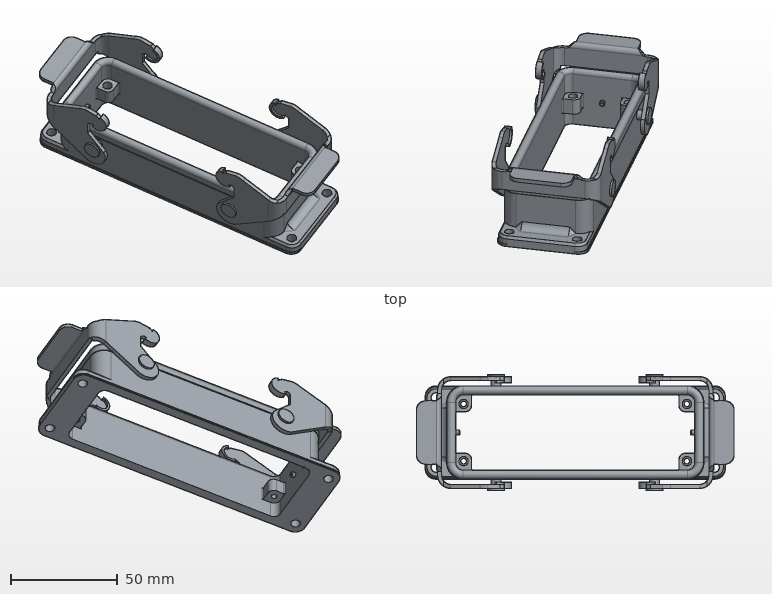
import cadquery as cq
import math

base_length = 140.3
base_width = 42.6
base_height = 5.3
base_corner = 5.0
base_edge_drop = 1.3
base_edge_inset = 0.9
lip_width = 43.7
lip_height = 1.2

body_length = 119.8
body_width = base_width
body_corner = 7.0
rim_length = 120.2
rim_width = lip_width
rim_corner = 7.7
rim_bottom = 23.0
bead_diameter = 4.3
bead_center_z = 26.5
cavity_length = rim_length - 2 * bead_diameter
cavity_width = rim_width - 2 * bead_diameter
cavity_corner = rim_corner - bead_diameter

flange_hole_diameter = 4.5
flange_hole_x = base_length / 2 - base_corner
flange_hole_y = base_width / 2 - base_corner

ramp_reach = 4.2
ramp_rise = 3.1
ramp_full_y = 11.5
ramp_tip_y = 14.4
ramp_tip_scale = 0.02

boss_x = 52.2
boss_y = 13.4
boss_reach = 3.7
boss_corner = 3.0
boss_flare = 0.6
boss_wall_overlap = 1.0
boss_bottom = 9.2
boss_top = 16.8
boss_hole_diameter = 2.5
boss_bore_diameter = 4.3
boss_bore_depth = 4.5
peg_diameter = 2.5
peg_length = 2.0
peg_chamfer = 0.5
peg_z = 13.1
peg_embed = 1.5

sheet = 2.0
strap_x = -64.3
lever_half_width = 26.2
lever_corner = 6.2
strap_bottom = 26.7
strap_flat_half_width = 21.7
strap_top = 36.3
lever_top = 44.7
lever_inner_x = -29.7

pivot_x = -37.0
pivot_z = 19.0
pin_diameter = 4.8
head_diameter = 8.0
overall_width = 54.2
head_outer_y = overall_width / 2
pin_embed = 1.5

heel_x = -37.2
heel_z = 16.6
heel_radius = 7.0
heel_start_angle = -115
heel_end_angle = 28

arm_lower_corner = (-58.4, 22.9)
arm_upper_corner = (-58.4, 37.7)
strap_top_x = -61.7
crown_x = -40.7
crown_bend = (-43.0, 44.3)
crown_end = (-44.6, 43.5)
hook_shoulder = (-35.0, 43.7)

throat_x = -39.7
throat_bottom_z = 29.0
throat_top_z = 35.2
throat_crest = (-38.2, 36.5)

nose_x = -34.5
nose_z = 39.0
nose_outer_radius = 4.8
nose_inner_radius = 3.5
nose_start_angle = -129
nose_end_angle = 72
nose_width = 3.0

tab_end_x = -74.3
tab_half_width = 14.9
tab_corner = 4.5
tab_top = 39.0
bend_inner_radius = 0.5
flare_top_half_width = 15.5
flare_bottom_half_width = 18.3


def rounded_block(length, width, corner, bottom, top):
    """Upright block centred on the Z axis with rounded vertical edges."""
    block = cq.Workplane("XY").workplane(offset=bottom).rect(length, width).extrude(top - bottom)
    return block.edges("|Z").fillet(corner)


def polar(center_x, center_z, radius, degrees):
    """Point at an angle on a circle in the XZ plane."""
    angle = math.radians(degrees)
    return (center_x + radius * math.cos(angle), center_z + radius * math.sin(angle))


def y_prism(profile_wires, y_start, y_end):
    """Extrude wires lying on the XZ plane between two Y positions."""
    return profile_wires.extrude(y_start - y_end).translate((0, y_start, 0))


def both_ends(shape):
    """A -X end feature together with its mirror image at the +X end."""
    return shape.union(shape.mirror("YZ"))


def both_sides(shape):
    """A -Y side feature together with its mirror image at the +Y side."""
    return shape.union(shape.mirror("XZ"))


def make_flange():
    flange = rounded_block(base_length, base_width, base_corner, 0, base_height)
    flange = flange.faces(">Z").chamfer(base_edge_drop, base_edge_inset)
    lip = rounded_block(base_length, lip_width, base_corner, 0, lip_height)
    return flange.union(lip)


def make_rim():
    """Raised band with a half-round top, swept around the cavity opening."""
    bead_radius = bead_diameter / 2
    half_length = rim_length / 2 - bead_radius
    half_width = rim_width / 2 - bead_radius
    path_corner = rim_corner - bead_radius
    path = (
        cq.Workplane("XY", origin=(0, 0, rim_bottom))
        .moveTo(0, -half_width)
        .lineTo(half_length - path_corner, -half_width)
        .radiusArc((half_length, -half_width + path_corner), -path_corner)
        .lineTo(half_length, half_width - path_corner)
        .radiusArc((half_length - path_corner, half_width), -path_corner)
        .lineTo(-half_length + path_corner, half_width)
        .radiusArc((-half_length, half_width - path_corner), -path_corner)
        .lineTo(-half_length, -half_width + path_corner)
        .radiusArc((-half_length + path_corner, -half_width), -path_corner)
        .close()
    )
    side_height = bead_center_z - rim_bottom
    section = (
        cq.Workplane("YZ", origin=(0, -half_width, rim_bottom))
        .moveTo(-bead_radius, 0)
        .lineTo(bead_radius, 0)
        .lineTo(bead_radius, side_height)
        .threePointArc((0, side_height + bead_radius), (-bead_radius, side_height))
        .close()
    )
    return section.sweep(path)


def make_ramp():
    """Concave ramp at the foot of the -X end wall, tapering to a point at each end."""
    def section(y, scale):
        reach = ramp_reach * scale
        rise = ramp_rise * scale
        radius = (reach ** 2 + rise ** 2) / (2 * rise)
        outline = (
            cq.Workplane("XZ", origin=(-body_length / 2, y, base_height))
            .moveTo(0, 0)
            .lineTo(-reach, 0)
            .radiusArc((0, rise), -radius)
            .close()
        )
        return outline.val()

    stations = [
        (-ramp_tip_y, ramp_tip_scale),
        (-ramp_full_y, 1),
        (ramp_full_y, 1),
        (ramp_tip_y, ramp_tip_scale),
    ]
    sections = [section(y, scale) for y, scale in stations]
    return cq.Workplane(cq.Solid.makeLoft(sections, True))


def make_boss():
    """Screw boss in the -X, -Y cavity corner, blended into both walls."""
    inner_x = -boss_x + boss_reach
    inner_y = -boss_y + boss_reach
    wall_x = -cavity_length / 2
    wall_y = -cavity_width / 2
    outer_x = wall_x - boss_wall_overlap
    outer_y = wall_y - boss_wall_overlap
    return (
        cq.Workplane("XY")
        .workplane(offset=boss_bottom)
        .moveTo(outer_x, outer_y)
        .lineTo(inner_x + boss_flare, outer_y)
        .lineTo(inner_x + boss_flare, wall_y)
        .radiusArc((inner_x, wall_y + boss_flare), boss_flare)
        .lineTo(inner_x, inner_y - boss_corner)
        .radiusArc((inner_x - boss_corner, inner_y), -boss_corner)
        .lineTo(wall_x + boss_flare, inner_y)
        .radiusArc((wall_x, inner_y + boss_flare), boss_flare)
        .lineTo(outer_x, inner_y + boss_flare)
        .close()
        .extrude(boss_top - boss_bottom)
    )


def make_peg():
    """Locating peg on the inside of the -X end wall."""
    start_x = -cavity_length / 2 - peg_embed
    peg = cq.Workplane("YZ", origin=(start_x, 0, peg_z)).circle(peg_diameter / 2)
    peg = peg.extrude(peg_embed + peg_length)
    return peg.faces(">X").chamfer(peg_chamfer)


def make_housing():
    housing = make_flange()
    housing = housing.union(rounded_block(body_length, body_width, body_corner, 0, rim_bottom))
    housing = housing.union(both_ends(make_ramp()))
    housing = housing.cut(rounded_block(cavity_length, cavity_width, cavity_corner, 0, lever_top))
    housing = housing.union(make_rim())
    housing = housing.union(both_ends(both_sides(make_boss())))
    housing = housing.union(both_ends(make_peg()))
    flange_holes = (
        cq.Workplane("XY")
        .rect(2 * flange_hole_x, 2 * flange_hole_y, forConstruction=True)
        .vertices()
        .circle(flange_hole_diameter / 2)
        .extrude(base_height)
    )
    boss_axes = (
        cq.Workplane("XY")
        .workplane(offset=boss_top)
        .rect(2 * boss_x, 2 * boss_y, forConstruction=True)
        .vertices()
    )
    boss_holes = boss_axes.circle(boss_hole_diameter / 2).extrude(boss_bottom - boss_top)
    boss_bores = boss_axes.circle(boss_bore_diameter / 2).extrude(-boss_bore_depth)
    return housing.cut(flange_holes).cut(boss_holes).cut(boss_bores)


def make_lever_band():
    """U-shaped sheet in plan: the end strap and both arms, untrimmed in height."""
    def u_block(inset):
        left = strap_x + inset
        half_width = lever_half_width - inset
        block = cq.Workplane("XY").box(
            lever_inner_x - left, 2 * half_width, lever_top, centered=(False, True, False)
        )
        return block.translate((left, 0, 0)).edges("|Z and <X").fillet(lever_corner - inset)

    return u_block(0).cut(u_block(sheet))


def make_lever_outline():
    """Side shape of the lever, as a prism across the whole width."""
    heel_mid_angle = (heel_start_angle + heel_end_angle) / 2
    outline = (
        cq.Workplane("XZ")
        .moveTo(strap_x, strap_bottom)
        .lineTo(*arm_lower_corner)
        .lineTo(*polar(heel_x, heel_z, heel_radius, heel_start_angle))
        .threePointArc(
            polar(heel_x, heel_z, heel_radius, heel_mid_angle),
            polar(heel_x, heel_z, heel_radius, heel_end_angle),
        )
        .lineTo(throat_x, throat_bottom_z)
        .lineTo(throat_x, throat_top_z)
        .threePointArc(throat_crest, polar(nose_x, nose_z, nose_inner_radius, nose_start_angle))
        .threePointArc(
            polar(nose_x, nose_z, nose_inner_radius, (nose_start_angle + nose_end_angle) / 2),
            polar(nose_x, nose_z, nose_inner_radius, nose_end_angle),
        )
        .lineTo(*hook_shoulder)
        .lineTo(crown_x, lever_top)
        .threePointArc(crown_bend, crown_end)
        .lineTo(*arm_upper_corner)
        .lineTo(strap_top_x, strap_top)
        .lineTo(strap_x, strap_top)
        .close()
    )
    return y_prism(outline, -lever_half_width, lever_half_width)


def make_nose_lip():
    """Curved lip around the hook nose, wider than the sheet toward the housing."""
    mid_angle = (nose_start_angle + nose_end_angle) / 2
    lip = (
        cq.Workplane("XZ")
        .moveTo(*polar(nose_x, nose_z, nose_inner_radius, nose_start_angle))
        .lineTo(*polar(nose_x, nose_z, nose_outer_radius, nose_start_angle))
        .threePointArc(
            polar(nose_x, nose_z, nose_outer_radius, mid_angle),
            polar(nose_x, nose_z, nose_outer_radius, nose_end_angle),
        )
        .lineTo(*polar(nose_x, nose_z, nose_inner_radius, nose_end_angle))
        .threePointArc(
            polar(nose_x, nose_z, nose_inner_radius, mid_angle),
            polar(nose_x, nose_z, nose_inner_radius, nose_start_angle),
        )
        .close()
    )
    return y_prism(lip, -lever_half_width, nose_width - lever_half_width)


def make_tab():
    """Thumb tab and the flared bend that joins it to the strap."""
    bend_x = strap_x - bend_inner_radius
    tab_bottom = tab_top - sheet
    bend_z = tab_bottom - bend_inner_radius
    tab_length = bend_x - tab_end_x
    plate = (
        cq.Workplane("XY", origin=(tab_end_x, 0, tab_bottom))
        .box(tab_length, 2 * tab_half_width, sheet, centered=(False, True, False))
        .edges("|Z and <X")
        .fillet(tab_corner)
    )
    profile = (
        cq.Workplane("XZ")
        .moveTo(bend_x, tab_top)
        .radiusArc((strap_x + sheet, bend_z), bend_inner_radius + sheet)
        .lineTo(strap_x + sheet, strap_top)
        .lineTo(strap_x, strap_top)
        .lineTo(strap_x, bend_z)
        .radiusArc((bend_x, tab_bottom), -bend_inner_radius)
        .close()
    )
    bend = y_prism(profile, -flare_bottom_half_width, flare_bottom_half_width)
    flare = (
        cq.Workplane("YZ")
        .polyline([
            (-flare_bottom_half_width, strap_top),
            (flare_bottom_half_width, strap_top),
            (flare_top_half_width, tab_top),
            (-flare_top_half_width, tab_top),
        ])
        .close()
        .extrude(tab_end_x)
    )
    return plate.union(bend.intersect(flare))


def make_pivot():
    """Headed pin that carries the -Y arm of the lever on the housing wall."""
    pin = cq.Workplane("XZ").center(pivot_x, pivot_z).circle(pin_diameter / 2)
    head = cq.Workplane("XZ").center(pivot_x, pivot_z).circle(head_diameter / 2)
    pin = y_prism(pin, -head_outer_y, pin_embed - body_width / 2)
    return pin.union(y_prism(head, -head_outer_y, -lever_half_width))


def make_lever():
    lever = make_lever_band().intersect(make_lever_outline())
    below_strap = cq.Workplane("XY").box(
        2 * lever_corner, 2 * strap_flat_half_width, strap_bottom, centered=(True, True, False)
    )
    lever = lever.cut(below_strap.translate((strap_x, 0, 0)))
    lever = lever.union(both_sides(make_nose_lip()))
    lever = lever.union(make_tab())
    return lever.union(both_sides(make_pivot()))


result = make_housing().union(both_ends(make_lever()))